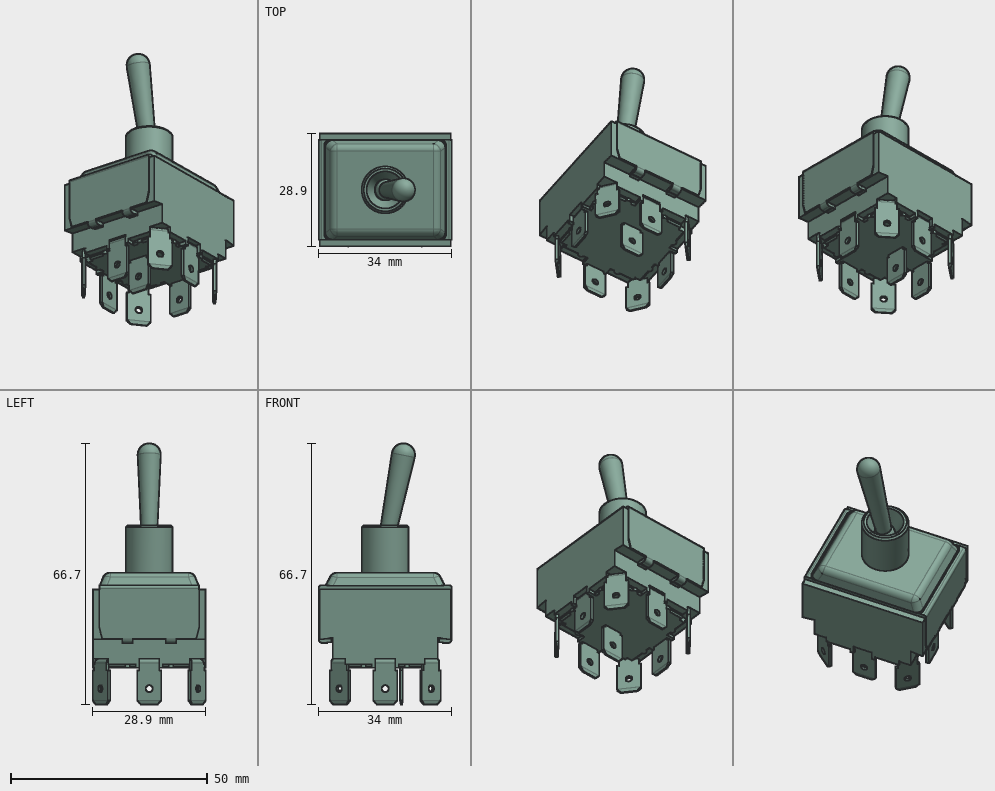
import cadquery as cq
import math

total_height = 66.65
bushing_top = 45.7
cover_top = 33.65
bracket_top = 30.45
core_shoulder_top = 29.4
bracket_bottom = 16.8
core_skirt_bottom = 10.3
base_plate_bottom = 9.3

core_width = 33.45
core_depth = 28.8
skirt_width = 26.8
shoulder_outer_z = 16.6
shoulder_inner_z = 17.0

plate_inset = 2.0
plate_chamfer = 0.45
lug_width = 6.9
post_diameter = 2.0
post_inset = 2.8
post_offset = 5.5

bracket_width = 34.0
bracket_depth = 25.45
sheet = 0.7
bracket_corner_y = 0.7
bracket_corner_z = 2.85
tab_width = 2.65
tab_bottom = 15.65
tab_inner_x = 14.7
tab_edge = 1.05
tongue_bottom = 15.85
tongue_inner_x = 13.7

recess_width = 31.2
recess_depth = 25.6
recess_height = 0.2
recess_radius = 1.65

cover_width = 30.5
cover_depth = 25.3
cover_end_draft = 27.0
cover_side_draft = 22.0
cover_round = 2.0

bushing_radius = 6.0
bushing_chamfer = 0.5
mouth_radius = 4.7
ball_diameter = 5.4
ball_distance = 0.65

lever_tilt = 11.3
lever_length = 23.6
lever_tip_radius = 3.0
lever_root_radius = 1.9
pivot_z = total_height - lever_tip_radius - lever_length * math.cos(math.radians(lever_tilt))

blade_width = 6.2
blade_thickness = 0.8
blade_shoulder = 8.7
neck_width = 5.1
neck_top = 11.7
blade_tip_width = 4.25
blade_tip_thickness = 0.3
blade_tip_height = 1.05
blade_hole_diameter = 1.7
blade_hole_z = 4.05
bend_radius = 1.0
tail_length = 4.0

side_blade_x = 13.05
side_blade_y = 13.05
corner_blade_x = 11.5
corner_blade_y = 12.2
corner_blade_angle = 39.0
corner_notch_x = 10.1
corner_notch_y = 10.4
center_blade_x = 4.1


def block(width, depth, bottom, top, x=0, y=0):
    """Box centred on (x, y) between two heights."""
    box = cq.Workplane("XY").box(width, depth, top - bottom, centered=(True, True, False))
    return box.translate((x, y, bottom))


def make_core():
    half_wide = core_width / 2
    half_skirt = skirt_width / 2
    core = (
        cq.Workplane("XZ")
        .moveTo(-half_wide, core_shoulder_top)
        .lineTo(-half_wide, shoulder_outer_z)
        .lineTo(-half_skirt, shoulder_inner_z)
        .lineTo(-half_skirt, core_skirt_bottom)
        .lineTo(half_skirt, core_skirt_bottom)
        .lineTo(half_skirt, shoulder_inner_z)
        .lineTo(half_wide, shoulder_outer_z)
        .lineTo(half_wide, core_shoulder_top)
        .close()
        .extrude(core_depth / 2, both=True)
    )
    plate_width = skirt_width - 2 * plate_inset
    plate_depth = core_depth - 2 * plate_inset
    plate = block(plate_width, plate_depth, base_plate_bottom, core_skirt_bottom)
    core = core.union(plate.faces("<Z").chamfer(plate_chamfer))
    core = core.union(block(lug_width, core_depth, base_plate_bottom, core_skirt_bottom))
    core = core.union(block(skirt_width, lug_width, base_plate_bottom, core_skirt_bottom))
    post_places = []
    for side in (-1, 1):
        for offset in (-post_offset, post_offset):
            post_places.append((offset, side * (core_depth / 2 - post_inset)))
            post_places.append((side * (skirt_width / 2 - post_inset), offset))
    posts = (
        cq.Workplane("XY", origin=(0, 0, base_plate_bottom))
        .pushPoints(post_places)
        .circle(post_diameter / 2)
        .extrude(core_skirt_bottom - base_plate_bottom)
    )
    return core.union(posts)


def cut_terminal_notches(core):
    half_skirt = skirt_width / 2
    half_depth = core_depth / 2
    side_notch_x = side_blade_x - blade_thickness / 2
    side_notch_y = side_blade_y - blade_thickness / 2
    for side in (-1, 1):
        x_depth = half_skirt - side_notch_x
        x_middle = side * (half_skirt + side_notch_x) / 2
        core = core.cut(block(x_depth, neck_width, base_plate_bottom, neck_top, x=x_middle))
        y_depth = half_depth - side_notch_y
        y_middle = side * (half_depth + side_notch_y) / 2
        core = core.cut(block(neck_width, y_depth, base_plate_bottom, neck_top, y=y_middle))
    corner_x = half_skirt - corner_notch_x
    corner_y = half_depth - corner_notch_y
    for x_side in (-1, 1):
        for y_side in (-1, 1):
            x_middle = x_side * (half_skirt + corner_notch_x) / 2
            y_middle = y_side * (half_depth + corner_notch_y) / 2
            core = core.cut(block(corner_x, corner_y, base_plate_bottom, neck_top, x_middle, y_middle))
    return core


def make_bracket():
    half_width = bracket_width / 2
    half_depth = bracket_depth / 2
    shell = block(bracket_width, bracket_depth, bracket_bottom, bracket_top)
    shell = shell.faces(">Z").edges("|Y").fillet(sheet)
    inside = block(bracket_width - 2 * sheet, bracket_depth, bracket_bottom, core_shoulder_top)
    side_outline = (
        cq.Workplane("YZ")
        .moveTo(-half_depth, bracket_top)
        .lineTo(-half_depth, bracket_bottom + bracket_corner_z)
        .lineTo(-half_depth + bracket_corner_y, bracket_bottom)
        .lineTo(half_depth - bracket_corner_y, bracket_bottom)
        .lineTo(half_depth, bracket_bottom + bracket_corner_z)
        .lineTo(half_depth, bracket_top)
        .close()
        .extrude(half_width, both=True)
    )
    recess = block(recess_width, recess_depth, bracket_top - recess_height, bracket_top)
    recess = recess.edges("|Z").fillet(recess_radius)
    bracket = shell.cut(inside).intersect(side_outline).cut(recess)
    for x_side in (-1, 1):
        for tab_y in (-post_offset, post_offset):
            bracket = bracket.union(make_tab(x_side, tab_y))
    return bracket


def make_tab(x_side, tab_y):
    """Bracket tab folded under the shoulder, ending in a short tongue."""
    half_width = bracket_width / 2
    tab_length = half_width - tab_inner_x
    tab = block(tab_length, tab_width, tab_bottom, bracket_bottom, x=(half_width + tab_inner_x) / 2)
    tab = tab.faces("<Z").edges(">X").fillet(tab_edge)
    tongue_length = tab_inner_x - tongue_inner_x
    tongue_middle = (tab_inner_x + tongue_inner_x) / 2
    tab = tab.union(block(tongue_length, tab_width, tongue_bottom, bracket_bottom, x=tongue_middle))
    if x_side < 0:
        tab = tab.mirror("YZ")
    return tab.translate((0, tab_y, 0))


def make_cover():
    base_z = bracket_top - recess_height
    height = cover_top - base_z
    top_width = cover_width - 2 * height * math.tan(math.radians(cover_end_draft))
    top_depth = cover_depth - 2 * height * math.tan(math.radians(cover_side_draft))
    cover = (
        cq.Workplane("XY", origin=(0, 0, base_z))
        .rect(cover_width, cover_depth)
        .workplane(offset=height)
        .rect(top_width, top_depth)
        .loft(ruled=True)
    )
    return cover.edges("not <Z").fillet(cover_round)


def make_bushing():
    """Revolved bushing whose conical mouth narrows to the lever ball."""
    mouth_floor = pivot_z + ball_distance
    return (
        cq.Workplane("XZ")
        .moveTo(0, core_shoulder_top)
        .lineTo(bushing_radius, core_shoulder_top)
        .lineTo(bushing_radius, bushing_top - bushing_chamfer)
        .lineTo(bushing_radius - bushing_chamfer, bushing_top)
        .lineTo(mouth_radius, bushing_top)
        .lineTo(ball_diameter / 2, mouth_floor)
        .lineTo(0, mouth_floor)
        .close()
        .revolve(360, (0, 0, 0), (0, 1, 0))
    )


def make_lever():
    ball = cq.Workplane("XY", origin=(0, 0, ball_distance)).sphere(ball_diameter / 2)
    stem = (
        cq.Workplane("XZ")
        .lineTo(lever_root_radius, 0)
        .lineTo(lever_tip_radius, lever_length)
        .radiusArc((0, lever_length + lever_tip_radius), -lever_tip_radius)
        .close()
        .revolve(360, (0, 0, 0), (0, 1, 0))
    )
    lever = ball.union(stem).rotate((0, 0, 0), (0, 1, 0), lever_tilt)
    return lever.translate((0, 0, pivot_z))


def make_blade():
    """Terminal facing -Y, bent at the top into a tail that runs toward +Y."""
    half_thickness = blade_thickness / 2
    front_outline = (
        cq.Workplane("XZ")
        .moveTo(-blade_tip_width / 2, 0)
        .lineTo(blade_tip_width / 2, 0)
        .lineTo(blade_width / 2, blade_tip_height)
        .lineTo(blade_width / 2, blade_shoulder)
        .lineTo(neck_width / 2, blade_shoulder)
        .lineTo(neck_width / 2, neck_top)
        .lineTo(-neck_width / 2, neck_top)
        .lineTo(-neck_width / 2, blade_shoulder)
        .lineTo(-blade_width / 2, blade_shoulder)
        .lineTo(-blade_width / 2, blade_tip_height)
        .close()
        .extrude(tail_length, both=True)
    )
    bend_center_y = bend_radius - half_thickness
    side_outline = (
        cq.Workplane("YZ")
        .moveTo(-blade_tip_thickness / 2, 0)
        .lineTo(blade_tip_thickness / 2, 0)
        .lineTo(half_thickness, blade_tip_height)
        .lineTo(half_thickness, neck_top - blade_thickness)
        .lineTo(tail_length, neck_top - blade_thickness)
        .lineTo(tail_length, neck_top)
        .lineTo(bend_center_y, neck_top)
        .radiusArc((-half_thickness, neck_top - bend_radius), -bend_radius)
        .lineTo(-half_thickness, blade_tip_height)
        .close()
        .extrude(blade_width / 2, both=True)
    )
    hole = (
        cq.Workplane("XZ", origin=(0, 0, blade_hole_z))
        .circle(blade_hole_diameter / 2)
        .extrude(blade_thickness, both=True)
    )
    return side_outline.intersect(front_outline).cut(hole)


blade_places = [
    (0, -side_blade_y, 0),
    (side_blade_x, 0, 90),
    (0, side_blade_y, 180),
    (-side_blade_x, 0, -90),
    (-corner_blade_x, -corner_blade_y, -corner_blade_angle),
    (corner_blade_x, -corner_blade_y, corner_blade_angle),
    (corner_blade_x, corner_blade_y, 180 - corner_blade_angle),
    (-corner_blade_x, corner_blade_y, 180 + corner_blade_angle),
    (center_blade_x, 0, -90),
]

result = cut_terminal_notches(make_core())
for added_part in (make_bracket(), make_cover(), make_bushing(), make_lever()):
    result = result.union(added_part)
blade = make_blade()
for blade_x, blade_y, blade_turn in blade_places:
    turned_blade = blade.rotate((0, 0, 0), (0, 0, 1), blade_turn)
    result = result.union(turned_blade.translate((blade_x, blade_y, 0)))